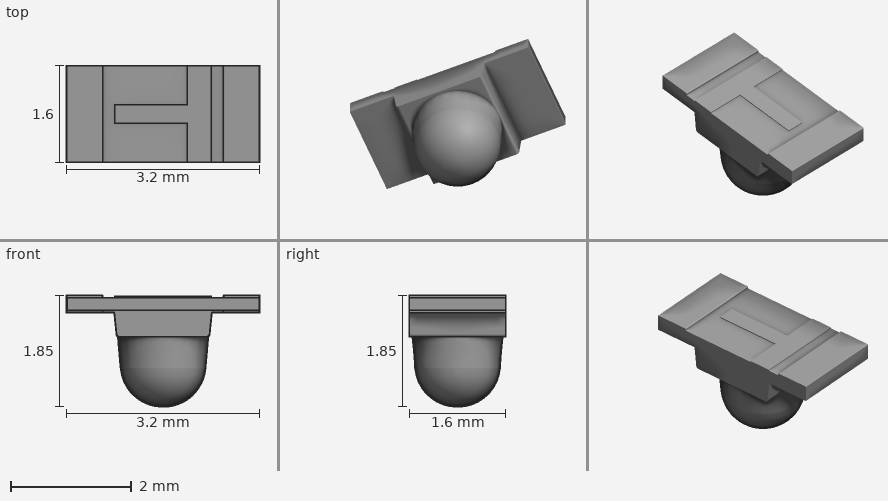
import cadquery as cq
import math


overall_length = 3.2
overall_width = 1.6
overall_height = 1.85

board_thickness = 0.21
plating_thickness = 0.04
end_plating_thickness = 0.01
terminal_length = 0.6
terminal_inner_round = 0.02
terminal_outer_round = 0.01

mark_length = 1.6
mark_bar_length = 0.4
mark_stem_width = 0.3
mark_thickness = 0.02

base_draft = math.radians(6)
dome_draft = math.radians(5)
base_top_length = 1.62
base_height = 0.4
base_round = 0.05
dome_root_radius = 0.75

half_length = overall_length / 2
terminal_top = board_thickness + plating_thickness
terminal_inner_x = half_length - terminal_length
film_bottom = -plating_thickness
base_bottom = film_bottom - base_height
lens_tip = terminal_top - overall_height


def extrude_across_width(profile):
    """Extrude an XZ outline over the full part width, centred on Y = 0."""
    return profile.extrude(overall_width / 2, both=True)


def make_board():
    board_length = overall_length - 2 * end_plating_thickness
    return cq.Workplane("XY").box(
        board_length, overall_width, board_thickness, centered=(True, True, False)
    )


def make_terminal(side):
    """C-shaped plating around one board end; side is -1 or +1."""
    inner_x = side * terminal_inner_x
    outer_x = side * half_length
    board_end_x = side * (half_length - end_plating_thickness)
    outline = (
        cq.Workplane("XZ")
        .moveTo(inner_x, board_thickness)
        .lineTo(inner_x, terminal_top)
        .lineTo(outer_x, terminal_top)
        .lineTo(outer_x, film_bottom)
        .lineTo(inner_x, film_bottom)
        .lineTo(inner_x, 0)
        .lineTo(board_end_x, 0)
        .lineTo(board_end_x, board_thickness)
        .close()
    )
    inner_edge = cq.NearestToPointSelector((inner_x, 0, terminal_top))
    outer_edge = cq.NearestToPointSelector((outer_x, 0, terminal_top))
    return (
        extrude_across_width(outline)
        .edges(inner_edge)
        .fillet(terminal_inner_round)
        .edges(outer_edge)
        .fillet(terminal_outer_round)
    )


def make_polarity_mark():
    """T-shaped print: a bar across the board and a stem pointing to -X."""
    right_x = mark_length / 2
    bar_left_x = right_x - mark_bar_length
    bar = cq.Workplane("XY").box(
        mark_bar_length, overall_width, mark_thickness, centered=(False, True, False)
    ).translate((bar_left_x, 0, board_thickness))
    stem = cq.Workplane("XY").box(
        mark_length - mark_bar_length, mark_stem_width, mark_thickness, centered=(False, True, False)
    ).translate((-right_x, 0, board_thickness))
    return bar.union(stem)


def make_lens_base():
    """Thin film between the terminals with a drafted block below it."""
    top_x = base_top_length / 2
    bottom_x = top_x - base_height * math.tan(base_draft)
    outline = (
        cq.Workplane("XZ")
        .moveTo(-terminal_inner_x, 0)
        .lineTo(terminal_inner_x, 0)
        .lineTo(terminal_inner_x, film_bottom)
        .lineTo(top_x, film_bottom)
        .lineTo(bottom_x, base_bottom)
        .lineTo(-bottom_x, base_bottom)
        .lineTo(-top_x, film_bottom)
        .lineTo(-terminal_inner_x, film_bottom)
        .close()
    )
    return extrude_across_width(outline).faces("<Z").edges("|Y").fillet(base_round)


def make_dome():
    """Drafted cone that runs tangentially into a spherical tip."""
    dome_height = base_bottom - lens_tip
    sphere_radius = (dome_root_radius - dome_height * math.tan(dome_draft)) / (
        math.cos(dome_draft) - (1 - math.sin(dome_draft)) * math.tan(dome_draft)
    )
    sphere_center_z = lens_tip + sphere_radius
    tangent_radius = sphere_radius * math.cos(dome_draft)
    tangent_z = sphere_center_z - sphere_radius * math.sin(dome_draft)
    arc_middle_angle = (dome_draft + math.pi / 2) / 2
    arc_middle = (
        sphere_radius * math.cos(arc_middle_angle),
        sphere_center_z - sphere_radius * math.sin(arc_middle_angle),
    )
    return (
        cq.Workplane("XZ")
        .moveTo(0, base_bottom)
        .lineTo(dome_root_radius, base_bottom)
        .lineTo(tangent_radius, tangent_z)
        .threePointArc(arc_middle, (0, lens_tip))
        .close()
        .revolve(360, (0, 0), (0, 1))
    )


board = make_board()
terminals = [make_terminal(side) for side in (-1, 1)]
polarity_mark = make_polarity_mark()
lens = make_lens_base().union(make_dome())

result = cq.Compound.makeCompound(
    [
        board.val(),
        *[terminal.val() for terminal in terminals],
        polarity_mark.val(),
        lens.val(),
    ]
)